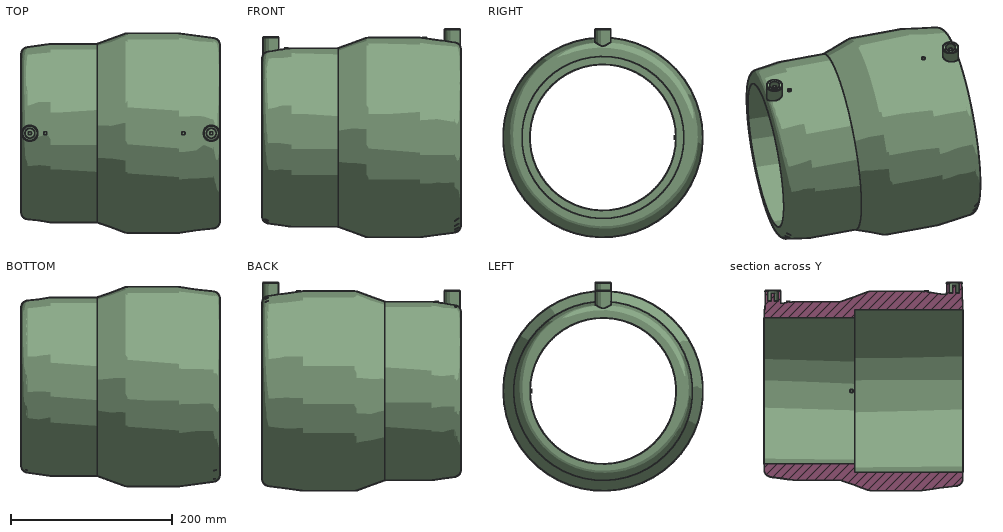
import cadquery as cq

length = 246.0
small_outer_radius = 221.0 / 2
large_outer_radius = 247.0 / 2
small_bore_radius = 180.0 / 2
large_bore_radius = 200.0 / 2
large_bore_start = 112.3

small_taper_end = 36.3
shoulder_start = 94.0
shoulder_end = 129.0
large_band_start = 131.8
large_taper_start = 195.0

small_rim_radius = 105.3
large_rim_radius = 116.6
shoulder_edge_drop = 0.3
rim_fillet = 9.3

tower_radius = 9.8
tower_chamfer = 0.8
socket_radius = 12.0 / 2
socket_depth = 13.0
small_tower_x = 11.0
large_tower_x = 235.0
small_tower_top = 124.0
large_tower_top = 134.03
small_tower_base_z = 92.7
large_tower_base_z = 105.5

pin_radius = 4.0 / 2
contact_top_gap = 3.3
small_indicator_x = 30.0
large_indicator_x = 200.5
indicator_depth = 5.2
stop_pin_x = large_bore_start - 2 * pin_radius
stop_pin_height = 2.0
stop_pin_embed = 5.2


def upright_cylinder(x, radius, bottom, top):
    return cq.Workplane("XY", origin=(x, 0, bottom)).circle(radius).extrude(top - bottom)


def sleeve_outside():
    profile = (
        cq.Workplane("XY")
        .polyline([
            (0, 0),
            (0, small_rim_radius),
            (small_taper_end, small_outer_radius),
            (shoulder_start, small_outer_radius),
            (shoulder_end, large_outer_radius - shoulder_edge_drop),
            (large_band_start, large_outer_radius),
            (large_taper_start, large_outer_radius),
            (length, large_rim_radius),
            (length, 0),
        ])
        .close()
    )
    solid = profile.revolve(360, (0, 0, 0), (1, 0, 0))
    return solid.faces("<X or >X").edges().fillet(rim_fillet)


def bore():
    through = cq.Workplane("YZ").circle(small_bore_radius).extrude(length)
    wide = cq.Workplane("YZ", origin=(large_bore_start, 0, 0)).circle(large_bore_radius)
    return through.union(wide.extrude(length - large_bore_start))


def add_tower(body, x, base, top):
    """Hollow tower with a contact pin standing in its blind socket."""
    floor = top - socket_depth
    post = upright_cylinder(x, tower_radius, base, top)
    body = body.union(post.faces(">Z").edges().chamfer(tower_chamfer))
    body = body.cut(upright_cylinder(x, socket_radius, floor, top))
    return body.union(upright_cylinder(x, pin_radius, base, top - contact_top_gap))


def add_indicator(body, x, top):
    """Melt indicator pin, level with the cylinder and slightly proud of the taper."""
    return body.union(upright_cylinder(x, pin_radius, top - indicator_depth, top))


def stop_pin():
    """Short pin on the +Y side of the small bore, pointing at the axis."""
    start = small_bore_radius - stop_pin_height
    plane = cq.Workplane("XZ", origin=(stop_pin_x, start, 0))
    return plane.circle(pin_radius).extrude(-(stop_pin_height + stop_pin_embed))


result = sleeve_outside().cut(bore())
result = add_tower(result, small_tower_x, small_tower_base_z, small_tower_top)
result = add_tower(result, large_tower_x, large_tower_base_z, large_tower_top)
result = add_indicator(result, small_indicator_x, small_outer_radius)
result = add_indicator(result, large_indicator_x, large_outer_radius)
result = result.union(stop_pin())